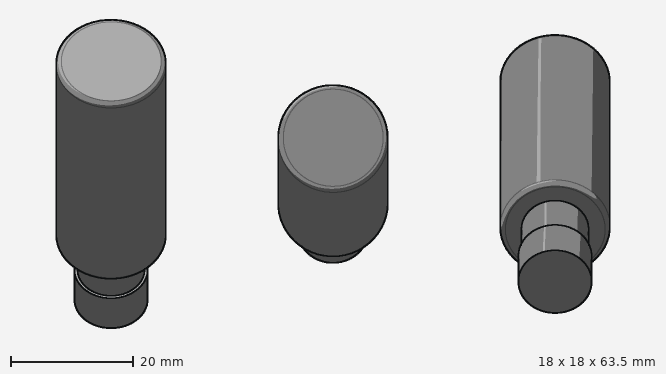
import cadquery as cq

total_length = 63.5
body_diameter = 18.0
body_length = 47.0
body_edge_radius = 0.8
neck_diameter = 11.0
tip_diameter = 12.0
tip_length = 8.0

body_bottom = total_length - body_length
neck_length = body_bottom - tip_length


def cylinder(diameter, length, bottom):
    """Upright cylinder on the Z axis, starting at the given height."""
    return cq.Workplane("XY").workplane(offset=bottom).circle(diameter / 2).extrude(length)


body = cylinder(body_diameter, body_length, body_bottom).edges("%CIRCLE").fillet(body_edge_radius)

neck = cylinder(neck_diameter, neck_length, tip_length)
tip = cylinder(tip_diameter, tip_length, 0)

result = body.union(neck).union(tip)